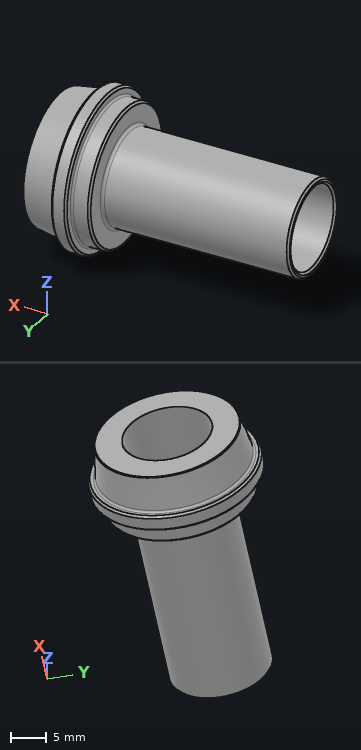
import cadquery as cq

total_length = 41.0
shoulder_start = 30.0
flange_start = 33.0
flange_end = 35.5

bore_radius = 13.0 / 2
tube_radius = 15.0 / 2
shoulder_radius = 22.0 / 2
flange_radius = 25.0 / 2
head_root_radius = 11.35
head_end_radius = 10.55

edge_chamfer = 0.33
tube_root_fillet = 0.45
step_fillet = 0.33
head_end_chamfer = 0.12

head_end = total_length - head_end_chamfer
head_start = flange_end + step_fillet


def make_tube():
    """Outer cylinder of the tube, reaching the shoulder, with a chamfered open end."""
    tube = cq.Workplane("YZ").circle(tube_radius).extrude(shoulder_start)
    return tube.faces("<X").chamfer(edge_chamfer)


def make_disc(start, end, radius, chamfered_faces):
    """Coaxial disc between two positions, chamfered at the selected end faces."""
    disc = cq.Workplane("YZ", origin=(start, 0, 0)).circle(radius).extrude(end - start)
    return disc.faces(chamfered_faces).edges().chamfer(edge_chamfer)


def make_head():
    """Conical head with a fillet against the flange and a chamfered end."""
    profile = (
        cq.Workplane("XY")
        .moveTo(flange_end, 0)
        .lineTo(flange_end, head_root_radius + step_fillet)
        .radiusArc((head_start, head_root_radius), -step_fillet)
        .lineTo(head_end, head_end_radius)
        .lineTo(total_length, head_end_radius - head_end_chamfer)
        .lineTo(total_length, 0)
        .close()
    )
    return profile.revolve(360, (0, 0, 0), (1, 0, 0))


def make_root_fillet(face_position, radius, fillet_radius):
    """Solid of revolution that fills the concave corner in front of a step face."""
    profile = (
        cq.Workplane("XY")
        .moveTo(face_position - fillet_radius, 0)
        .lineTo(face_position - fillet_radius, radius)
        .radiusArc((face_position, radius + fillet_radius), -fillet_radius)
        .lineTo(face_position, 0)
        .close()
    )
    return profile.revolve(360, (0, 0, 0), (1, 0, 0))


def make_bore():
    """Through bore with a chamfered mouth at the tube end."""
    bore = cq.Workplane("YZ").circle(bore_radius).extrude(total_length)
    mouth = cq.Workplane("XY").polyline([
        (0, 0),
        (0, bore_radius + edge_chamfer),
        (edge_chamfer, bore_radius),
        (edge_chamfer, 0),
    ]).close().revolve(360, (0, 0, 0), (1, 0, 0))
    return bore.union(mouth)


body = make_tube()
body = body.union(make_disc(shoulder_start, flange_start, shoulder_radius, "<X"))
body = body.union(make_disc(flange_start, flange_end, flange_radius, "|X"))
body = body.union(make_head())
body = body.union(make_root_fillet(shoulder_start, tube_radius, tube_root_fillet))
body = body.union(make_root_fillet(flange_start, shoulder_radius, step_fillet))

result = body.cut(make_bore())